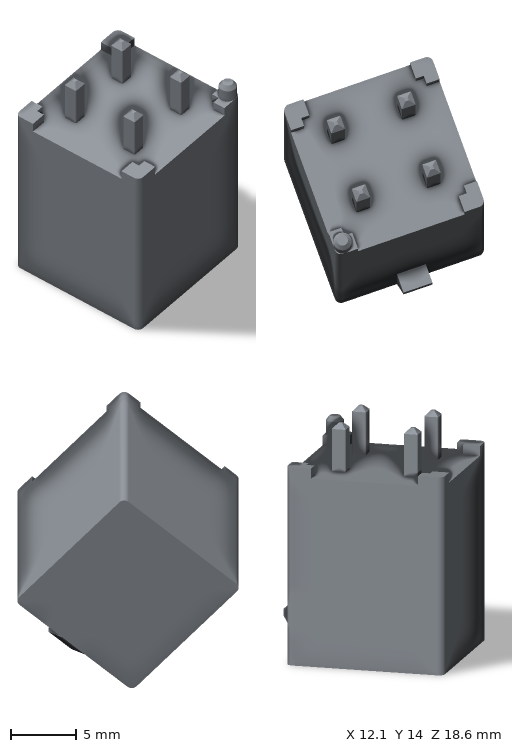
import cadquery as cq

body_x = 12.05
body_y = 12.49
corner_radius = 0.5
pad_top = 15.6
pad_height = 0.78
floor_z = pad_top - pad_height

pad_x = 1.71
pad_y = 1.99
pad_step_x = 1.05
pad_step_y = 1.34

total_height = 18.58
pin_width = 1.11
pin_pitch = 5.72
pin_row_shift_y = -0.07
pin_edge_radius = 0.1
pin_tip_chamfer = 0.4

post_diameter = 1.4
post_top = 17.0
post_chamfer_radial = 0.28
post_chamfer_axial = 0.35

latch_width = 2.35
latch_reach = 1.55
latch_top = 3.18
latch_nose_bottom = 2.6


def make_body():
    """Block with rounded upright edges, cut down to the floor except at the corner pads."""
    block = (
        cq.Workplane("XY")
        .rect(body_x, body_y)
        .extrude(pad_top)
        .edges("|Z")
        .fillet(corner_radius)
    )
    floor = cq.Workplane("XY").workplane(offset=floor_z)

    def recess_part(size_x, size_y):
        return floor.rect(size_x, size_y).extrude(pad_height)

    recess = (
        recess_part(body_x - 2 * pad_x, body_y)
        .union(recess_part(body_x - 2 * pad_step_x, body_y - 2 * pad_step_y))
        .union(recess_part(body_x, body_y - 2 * pad_y))
    )
    return block.cut(recess)


def make_pins():
    """Four pins with rounded edges and blunt pyramid tips, standing on the floor."""
    centres = (
        cq.Workplane("XY", origin=(0, pin_row_shift_y, floor_z))
        .rarray(pin_pitch, pin_pitch, 2, 2)
    )
    bars = centres.rect(pin_width, pin_width).extrude(total_height - floor_z)
    tapered = bars.faces(">Z").chamfer(pin_tip_chamfer)
    rounded = bars.edges("|Z").fillet(pin_edge_radius)
    return tapered.intersect(rounded)


def make_post():
    """Cylinder with a conical lead-in, placed in the +X +Y corner."""
    post_radius = post_diameter / 2
    return (
        cq.Workplane("XY", origin=(body_x / 2 - post_radius, body_y / 2 - post_radius, floor_z))
        .circle(post_radius)
        .extrude(post_top - floor_z)
        .faces(">Z")
        .chamfer(post_chamfer_axial, post_chamfer_radial)
    )


def make_latch():
    """Wedge with a flat top and a short nose, sloping back to the bottom edge of the housing."""
    wall_y = body_y / 2
    nose_y = wall_y + latch_reach
    return (
        cq.Workplane("YZ")
        .polyline([(wall_y, 0), (nose_y, latch_nose_bottom), (nose_y, latch_top), (wall_y, latch_top)])
        .close()
        .extrude(latch_width / 2, both=True)
    )


result = make_body().union(make_pins()).union(make_post()).union(make_latch())